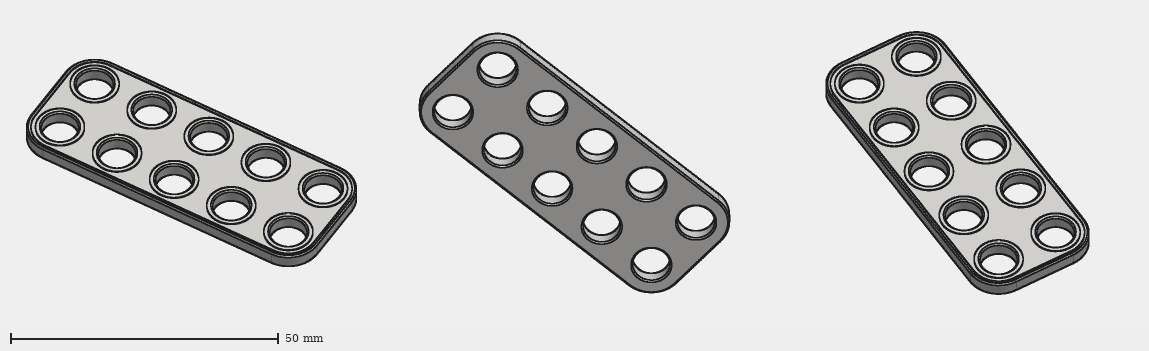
import cadquery as cq

columns = 5
rows = 2
pitch = 12.5
thickness = 3.1
length = columns * pitch
width = rows * pitch
corner_radius = pitch / 2
edge_chamfer = 0.3

hole_diameter = 7.0
hole_chamfer = 0.3
ring_diameter = 9.2

rim_width = 0.8
recess_depth = 0.2


def rounded_plate(inset, height):
    """Plate outline moved inward by inset and raised to height."""
    return (
        cq.Workplane("XY")
        .rect(length - 2 * inset, width - 2 * inset)
        .extrude(height)
        .edges("|Z")
        .fillet(corner_radius - inset)
    )


def grid_cylinders(diameter, height):
    """One upright cylinder at every hole position."""
    return (
        cq.Workplane("XY")
        .rarray(pitch, pitch, columns, rows)
        .circle(diameter / 2)
        .extrude(height)
    )


def chamfered_holes():
    """Through-hole cutters that flare out at both faces."""
    radius = hole_diameter / 2
    mouth_radius = radius + hole_chamfer
    cutter = (
        cq.Workplane("XZ")
        .moveTo(0, 0)
        .lineTo(mouth_radius, 0)
        .lineTo(radius, hole_chamfer)
        .lineTo(radius, thickness - hole_chamfer)
        .lineTo(mouth_radius, thickness)
        .lineTo(0, thickness)
        .close()
        .revolve(360, (0, 0, 0), (0, 1, 0))
        .val()
    )
    return (
        cq.Workplane("XY")
        .rarray(pitch, pitch, columns, rows)
        .eachpoint(lambda place: cutter.moved(place))
    )


def top_recess():
    """Pocket inside the rim that leaves the hole rings standing."""
    pocket = rounded_plate(rim_width, recess_depth)
    rings = grid_cylinders(ring_diameter, recess_depth)
    return pocket.cut(rings).translate((0, 0, thickness - recess_depth))


plate = rounded_plate(0, thickness).faces("<Z or >Z").edges().chamfer(edge_chamfer)
result = plate.cut(top_recess()).cut(chamfered_holes())